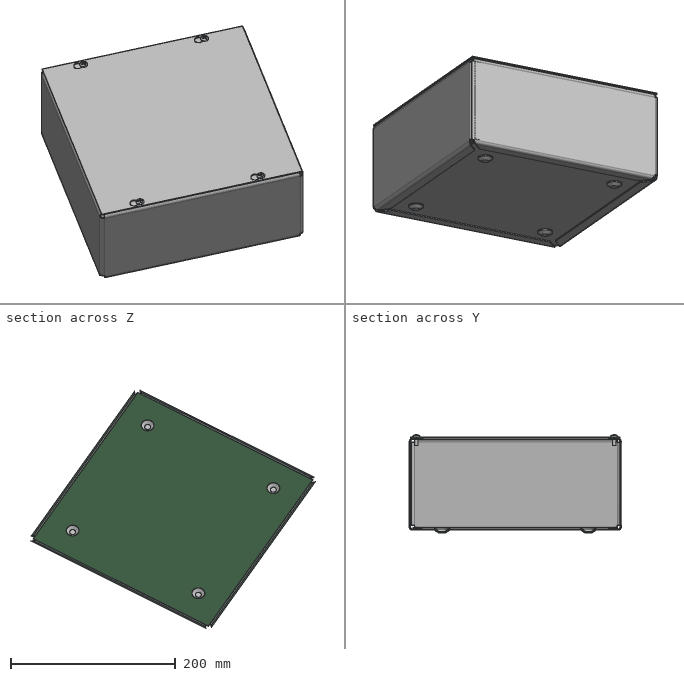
import cadquery as cq
import math

box_side = 257.2
box_bottom = 3.3
box_top = 115.0
total_height = 119.0
sheet = 1.5

corner_radius = 5.0
top_bend_radius = 5.0
bottom_bend_radius = 3.9
relief_height = 5.7
seam_flange_gap = 3.0
flange_width = 15.5
seam_tab_length = 12.9

lid_side = 253.5
screw_x = 119.8
screw_y = 76.5
entry_diameter = 9.8
slot_width = 6.0
keyhole_offset = 7.5

head_diameter = 9.8
shank_diameter = 4.0
shank_length = 10.3
left_screw_turn = 25
recess_span = 6.2
recess_width = 1.0
recess_depth = 0.8

emboss_spacing = 177.5
emboss_base_diameter = 18.3
emboss_tip_diameter = 8.7

half = box_side / 2
tangent = half - corner_radius
wall_bottom = box_bottom + bottom_bend_radius
wall_top = box_top - top_bend_radius
bend_bottom = box_bottom + relief_height
lid_top = box_top + sheet
lap_x = -half + sheet
panel_top = box_bottom + 2 * sheet
screw_places = [(x, y) for x in (-screw_x, screw_x) for y in (-screw_y, screw_y)]
emboss_offset = emboss_spacing / 2
emboss_places = [(x, y) for x in (-emboss_offset, emboss_offset) for y in (-emboss_offset, emboss_offset)]


def block(x0, x1, y0, y1, z0, z1):
    """Box given by its limits along each axis."""
    return cq.Workplane("XY").box(x1 - x0, y1 - y0, z1 - z0, centered=False).translate((x0, y0, z0))


def mitred_outline(start, end, mitre_y, z0, z1):
    """Plan outline of a front wall whose flange narrows at 45 degrees inward of mitre_y."""
    inner_y = -half + flange_width
    run = inner_y - mitre_y
    outline = cq.Workplane("XY", origin=(0, 0, z0)).moveTo(start, -half).lineTo(end, -half)
    if mitre_y > -half:
        outline = outline.lineTo(end, mitre_y)
    outline = outline.lineTo(end - run, inner_y).lineTo(start + run, inner_y)
    if mitre_y > -half:
        outline = outline.lineTo(start, mitre_y)
    return outline.close().extrude(z1 - z0)


def bent_channel(start, end, inset):
    """Solid front channel profile, moved inward by inset, with rounded bends."""
    return (
        block(start, end, -half + inset, half, box_bottom + inset, box_top - inset)
        .edges("|X and <Y and <Z")
        .fillet(bottom_bend_radius - inset)
        .edges("|X and <Y and >Z")
        .fillet(top_bend_radius - inset)
    )


def flanged_wall(start, end):
    """Front wall from x = start to end, with a mitred flange bent in at its top and bottom."""
    middle = (box_bottom + box_top) / 2
    lower = mitred_outline(start, end, -half, box_bottom, middle)
    upper = mitred_outline(start, end, -half + top_bend_radius, middle, box_top)
    flanges = bent_channel(start, end, 0).cut(bent_channel(start, end, sheet))
    flat = block(start, end, -half, -half + sheet, wall_bottom, wall_top)
    return flanges.intersect(lower.union(upper)).union(flat)


def corner_bend(x, y, start_angle):
    """Quarter ring of sheet about a vertical axis, between the top and bottom reliefs."""
    start, middle, end = (math.radians(start_angle + d) for d in (0, 45, 90))

    def on_ring(radius, angle):
        return (x + radius * math.cos(angle), y + radius * math.sin(angle))

    inner_radius = corner_radius - sheet
    return (
        cq.Workplane("XY", origin=(0, 0, bend_bottom))
        .moveTo(*on_ring(corner_radius, start))
        .threePointArc(on_ring(corner_radius, middle), on_ring(corner_radius, end))
        .lineTo(*on_ring(inner_radius, end))
        .threePointArc(on_ring(inner_radius, middle), on_ring(inner_radius, start))
        .close()
        .extrude(wall_top - bend_bottom)
    )


def make_wrapper():
    """Four walls bent from one strip, lapped at the back left corner."""
    seam_x = lap_x + corner_radius
    right_turn, back_turn, left_turn = 90, 180, 270
    wrapper = flanged_wall(-tangent, tangent)
    for start, end, turn in (
        (-tangent, tangent, right_turn),
        (-tangent, -seam_x, back_turn),
        (-half + seam_flange_gap, tangent, left_turn),
    ):
        wrapper = wrapper.union(flanged_wall(start, end).rotate((0, 0, 0), (0, 0, 1), turn))
    wrapper = wrapper.union(corner_bend(-tangent, -tangent, 180))
    wrapper = wrapper.union(corner_bend(tangent, -tangent, 270))
    wrapper = wrapper.union(corner_bend(tangent, tangent, 0))

    wrapper = wrapper.union(block(-half, lap_x, tangent, half, wall_bottom, wall_top))
    wrapper = wrapper.union(corner_bend(seam_x, tangent, 90))
    tab = block(lap_x, lap_x + sheet, half - seam_tab_length, tangent, bend_bottom, wall_top)
    wrapper = wrapper.union(tab)

    for x, y in screw_places:
        hole = cq.Workplane("XY", origin=(x, y, box_top - sheet)).circle(shank_diameter / 2).extrude(sheet)
        wrapper = wrapper.cut(hole)
    return wrapper


def make_back_panel():
    """Flat panel on the bottom flanges, with hollow conical embosses pressed downward."""
    panel = block(-tangent, tangent, -tangent, tangent, box_bottom + sheet, panel_top)
    base_radius = emboss_base_diameter / 2
    tip_radius = emboss_tip_diameter / 2
    cone = (
        cq.Workplane("XZ")
        .polyline([
            (0, 0), (tip_radius, 0), (base_radius, box_bottom),
            (base_radius, panel_top), (0, panel_top),
        ])
        .close()
        .revolve(360, (0, 0), (0, 1))
    )
    hollow = (
        cq.Workplane("XZ")
        .polyline([
            (0, sheet), (tip_radius - sheet / 2, sheet), (base_radius - sheet, box_bottom + sheet),
            (base_radius - sheet, panel_top), (0, panel_top),
        ])
        .close()
        .revolve(360, (0, 0), (0, 1))
    )
    for x, y in emboss_places:
        panel = panel.union(cone.translate((x, y, 0))).cut(hollow.translate((x, y, 0)))
    return panel


def keyhole():
    """Keyhole cutter: slot centred on the screw, large end toward -Y."""
    entry = cq.Workplane("XY").center(0, -keyhole_offset).circle(entry_diameter / 2).extrude(sheet)
    narrow = cq.Workplane("XY").circle(slot_width / 2).extrude(sheet)
    slot = block(-slot_width / 2, slot_width / 2, -keyhole_offset, 0, 0, sheet)
    return entry.union(narrow).union(slot)


def make_lid():
    """Flat cover plate with four keyholes."""
    lid = block(-lid_side / 2, lid_side / 2, -lid_side / 2, lid_side / 2, box_top, lid_top)
    for x, y in screw_places:
        lid = lid.cut(keyhole().translate((x, y, box_top)))
    return lid


def make_screw(turn):
    """Domed screw with a cross recess turned by an angle; the underside of the head is at zero."""
    head_height = total_height - lid_top
    head_radius = head_diameter / 2
    dome_radius = (head_radius**2 + head_height**2) / (2 * head_height)
    dome_center_z = head_height - dome_radius
    half_angle = math.asin(head_radius / dome_radius) / 2
    mid_dome = (dome_radius * math.sin(half_angle), dome_center_z + dome_radius * math.cos(half_angle))
    screw = (
        cq.Workplane("XZ")
        .moveTo(0, -shank_length)
        .lineTo(shank_diameter / 2, -shank_length)
        .lineTo(shank_diameter / 2, 0)
        .lineTo(head_radius, 0)
        .threePointArc(mid_dome, (0, head_height))
        .close()
        .revolve(360, (0, 0), (0, 1))
    )
    recess_floor = head_height - recess_depth
    long, short = recess_span / 2, recess_width / 2
    screw = screw.cut(block(-long, long, -short, short, recess_floor, head_height))
    screw = screw.cut(block(-short, short, -long, long, recess_floor, head_height))
    return screw.rotate((0, 0, 0), (0, 0, 1), turn)


wrapper = make_wrapper()
back_panel = make_back_panel()
lid = make_lid()
screws = [
    make_screw(left_screw_turn if x < 0 else 0).translate((x, y, lid_top))
    for x, y in screw_places
]

result = cq.Compound.makeCompound(
    [wrapper.val(), back_panel.val(), lid.val(), *[screw.val() for screw in screws]]
)